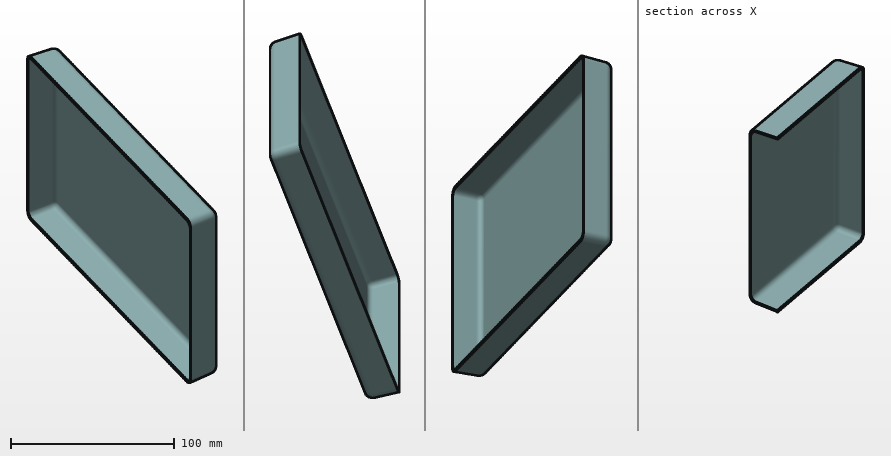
import cadquery as cq
import math

RIM_LENGTH = 192.53
RIM_HEIGHT = 128.9
DEPTH = 20.57

WALL = 1.524
DRAFT_ANGLE = 2.0
OUTER_RADIUS = 5.08
INNER_RADIUS = OUTER_RADIUS - WALL


def rounded_tapered_block(rim_length, rim_height, depth, radius):
    """Block narrowing from the rim plane toward +Y, with all edges rounded but those of the rim."""
    inset = depth * math.tan(math.radians(DRAFT_ANGLE))
    block = (
        cq.Workplane("XZ", origin=(0, -DEPTH / 2, 0))
        .rect(rim_length, rim_height)
        .workplane(offset=-depth)
        .rect(rim_length - 2 * inset, rim_height - 2 * inset)
        .loft(ruled=True)
    )
    return block.edges("not <Y").fillet(radius)


def tray():
    """Rounded outer shell with a matching cavity open toward -Y."""
    outside = rounded_tapered_block(RIM_LENGTH, RIM_HEIGHT, DEPTH, OUTER_RADIUS)
    cavity = rounded_tapered_block(
        RIM_LENGTH - 2 * WALL,
        RIM_HEIGHT - 2 * WALL,
        DEPTH - WALL,
        INNER_RADIUS,
    )
    return outside.cut(cavity)


result = tray()